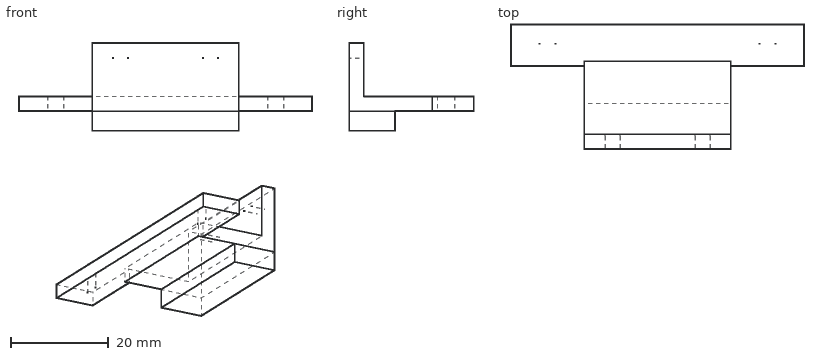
import cadquery as cq

bar_length = 60.0
total_depth = 25.5
total_height = 18.0

plate_thickness = 3.0

bracket_width = 30.0
bracket_depth = 18.0
block_depth = 9.4
block_height = 4.0

bar_depth = 8.5

pin_hole_diameter = 0.05
bar_hole_offsets = (20.9, 24.1)
bar_hole_from_rear = 3.95
wall_hole_offsets = (7.7, 10.75)
wall_hole_from_top = 3.1

plate_top = block_height + plate_thickness
bar_front = total_depth - bar_depth
recess_depth = bracket_depth - bar_front


def centred_box(width, depth, height, front, bottom):
    """Box centred on X = 0, with its front face at Y = front and its base at Z = bottom."""
    centring = (True, False, False)
    return cq.Workplane("XY").box(width, depth, height, centered=centring).translate((0, front, bottom))


def mirrored_positions(offsets, across):
    """Points at plus and minus each X offset, all at the same second coordinate."""
    return [(side * offset, across) for side in (-1, 1) for offset in offsets]


def make_bar():
    """Long flat bar, with a recess in its front edge for the bracket and vertical pin holes."""
    bar = centred_box(bar_length, bar_depth, plate_thickness, bar_front, block_height)
    recess = centred_box(bracket_width, recess_depth, plate_thickness, bar_front, block_height)
    holes = (
        cq.Workplane("XY", origin=(0, 0, block_height))
        .pushPoints(mirrored_positions(bar_hole_offsets, total_depth - bar_hole_from_rear))
        .circle(pin_hole_diameter / 2)
        .extrude(plate_thickness)
    )
    return bar.cut(recess).cut(holes)


def make_bracket():
    """L-shaped bracket: a flat plate and an upright front wall with pin holes through it."""
    profile = [
        (0, block_height),
        (bracket_depth, block_height),
        (bracket_depth, plate_top),
        (plate_thickness, plate_top),
        (plate_thickness, total_height),
        (0, total_height),
    ]
    bracket = cq.Workplane("YZ").polyline(profile).close().extrude(bracket_width / 2, both=True)
    holes = (
        cq.Workplane("XZ")
        .pushPoints(mirrored_positions(wall_hole_offsets, total_height - wall_hole_from_top))
        .circle(pin_hole_diameter / 2)
        .extrude(-plate_thickness)
    )
    return bracket.cut(holes)


def make_block():
    """Support block under the front of the bracket, flush with its front and ends."""
    return centred_box(bracket_width, block_depth, block_height, 0, 0)


bar = make_bar()
bracket = make_bracket()
block = make_block()

result = cq.Compound.makeCompound([body.solids().val() for body in (bar, bracket, block)])